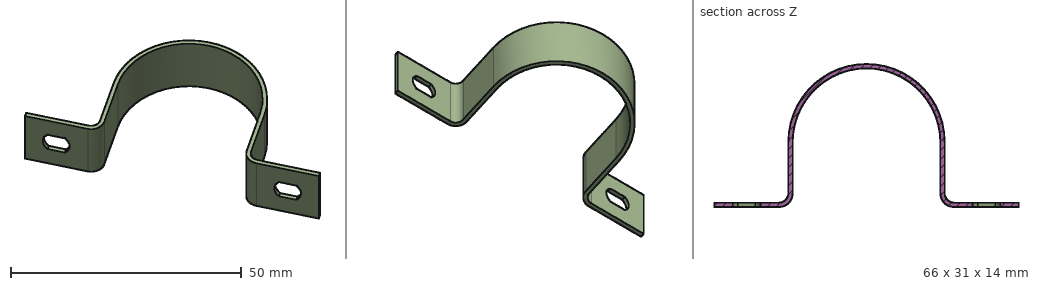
import cadquery as cq

total_length = 66.0
total_depth = 31.0
strap_width = 14.0
thickness = 1.0
inner_radius = 16.0
bend_inner_radius = 2.0
hole_diameter = 6.0
hole_flat_height = 4.6

half_length = total_length / 2
outer_radius = inner_radius + thickness
arch_center_y = total_depth - outer_radius
bend_outer_radius = bend_inner_radius + thickness
foot_inner_end = inner_radius + bend_outer_radius
hole_x = (half_length + foot_inner_end) / 2


def arch():
    """Half ring wrapping the clamped pipe."""
    ring = cq.Workplane("XY").circle(outer_radius).circle(inner_radius).extrude(strap_width)
    upper_half = cq.Workplane("XY").box(
        2 * outer_radius, outer_radius, strap_width, centered=(True, False, False)
    )
    return ring.intersect(upper_half).translate((0, arch_center_y, 0))


def right_leg():
    """Straight leg, rounded bend and flat foot on the +X side."""
    bend_center = (foot_inner_end, bend_outer_radius)
    diagonal = 0.5**0.5

    def bend_middle(radius):
        return (bend_center[0] - radius * diagonal, bend_center[1] - radius * diagonal)

    return (
        cq.Workplane("XY")
        .moveTo(inner_radius, arch_center_y)
        .lineTo(inner_radius, bend_outer_radius)
        .threePointArc(bend_middle(bend_outer_radius), (foot_inner_end, 0))
        .lineTo(half_length, 0)
        .lineTo(half_length, thickness)
        .lineTo(foot_inner_end, thickness)
        .threePointArc(bend_middle(bend_inner_radius), (outer_radius, bend_outer_radius))
        .lineTo(outer_radius, arch_center_y)
        .close()
        .extrude(strap_width)
    )


def foot_hole():
    """Round hole with its top and bottom cut off flat, through the foot."""
    cylinder = cq.Workplane("XZ").circle(hole_diameter / 2).extrude(thickness, both=True)
    flats = cq.Workplane("XY").box(hole_diameter, 2 * thickness, hole_flat_height)
    return cylinder.intersect(flats).translate((hole_x, 0, strap_width / 2))


leg = right_leg().cut(foot_hole())
result = arch().union(leg).union(leg.mirror("YZ"))